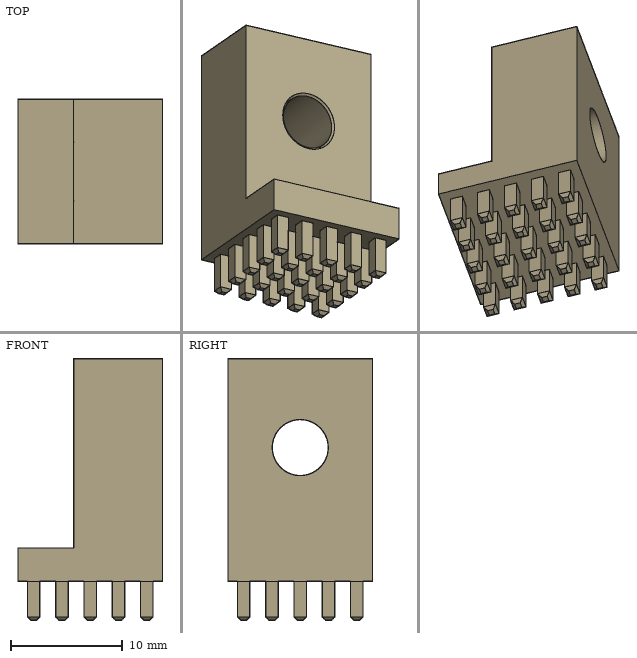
import cadquery as cq

overall_height = 23.5
base_side = 13.0
base_height = 3.0
wall_thickness = 8.0

pin_count = 5
pin_pitch = 2.54
pin_side = 1.13
pin_length = 3.5
tip_chamfer = 0.3

hole_diameter = 5.0
hole_chamfer = 0.19
hole_drop_from_top = 8.0

base_bottom = pin_length
base_top = base_bottom + base_height
half_side = base_side / 2
wall_face_x = half_side - wall_thickness
hole_z = overall_height - hole_drop_from_top


def make_body():
    """L-shaped profile extruded symmetrically along Y."""
    return (
        cq.Workplane("XZ")
        .moveTo(-half_side, base_bottom)
        .lineTo(half_side, base_bottom)
        .lineTo(half_side, overall_height)
        .lineTo(wall_face_x, overall_height)
        .lineTo(wall_face_x, base_top)
        .lineTo(-half_side, base_top)
        .close()
        .extrude(half_side, both=True)
    )


def make_hole_cutter():
    """Cylinder along X through the wall, flared at the -X mouth to form the chamfer."""
    hole_radius = hole_diameter / 2
    mouth_plane = cq.Workplane("YZ", origin=(wall_face_x, 0, hole_z))
    bore = mouth_plane.circle(hole_radius).extrude(wall_thickness)
    flare = mouth_plane.circle(hole_radius + hole_chamfer).extrude(hole_chamfer, taper=45)
    return bore.union(flare)


def make_pins():
    """Grid of square pins hanging from the base, each with a chamfered tip."""
    pins = (
        cq.Workplane("XY", origin=(0, 0, base_bottom))
        .rarray(pin_pitch, pin_pitch, pin_count, pin_count)
        .rect(pin_side, pin_side)
        .extrude(-pin_length)
    )
    return pins.faces("<Z").chamfer(tip_chamfer)


result = make_body().cut(make_hole_cutter()).union(make_pins())